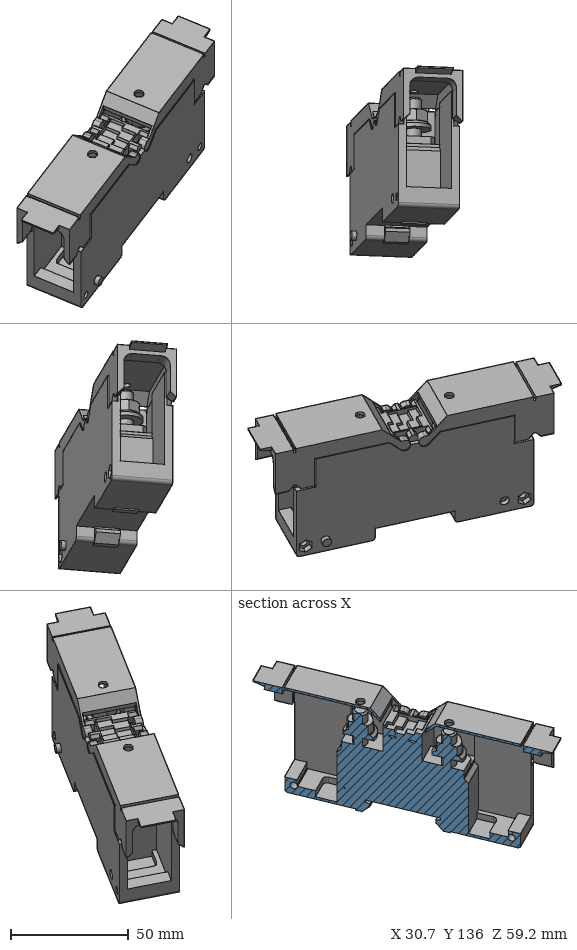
import cadquery as cq
body_width = 26.5
body_half_length = 53.6
body_bottom = 0.7
body_top = 51.5
bottom_edge_radius = 1.6
rail_half_gap = 18.0
rail_roof = 7.0

chamber_half_width = 9.7
chamber_back = 9.0
terminal_bay_half_width = 11.4
chamber_floor = 9.2
sill_depth = 5.7
sunk_floor = 5.7
well_half_width = 7.6
well_front = 39.5
well_corner_radius = 2.0
well_bottom = 2.3
shelf_front = 29.9
shelf_top = 30.2
busbar_bottom = 32.1
busbar_top = 33.5

stud_y = 20.1
plate_width = 15.5
plate_front = 27.9
plate_corner = 1.9
plate_top = 36.7
stud_radius = 3.3
stud_top = 54.7
stud_chamfer = 0.8
washer_radius = 7.3
washer_top_radius = 6.0
washer_bottom = 41.1
washer_rim_top = 42.7
nut_bottom = 44.0
nut_top = 49.1
nut_width = 10.5
nut_bevel = 0.5

cover_width = 25.7
cover_top = 59.2
cover_wall = 1.5
slope_top_y = 14.7
flap_inner_end = 45.2
flap_bottom = 36.9
flap_clearance = 0.4
flap_recess_half_width = 10.7
window_half_width = 11.8
window_y = 10.2
probe_hole_diameter = 4.1

pivot_y = 4.5
pivot_z = 48.1
pivot_radius = 2.6
lobe_top = pivot_z + pivot_radius
lobe_width = 3.4
ridge_half_top = 0.7
saddle_bevel = 1.4

cap_start = 54.7
cap_end = 62.8
cap_top = 58.8
slit_bottom = 57.1
arch_half_width = 10.0
arch_top = 55.1
arch_radius = 4.0
cap_foot_width = 0.4
cap_foot_rise = 2.3
notch_top = 39.5
notch_run = 2.3
tab_width = 15.5
tab_end = 68.0
tab_tip_thickness = 0.7
tab_root_thickness = 1.9

bolt_hole_y = 49.4
bolt_hole_z = 5.6
bolt_hole_diameter = 3.3
hex_pocket_width = 5.6
hex_pocket_depth = 2.7
pin_y = 40.4
pin_z = 6.7
pin_diameter = 4.1
pin_span = 30.7
pin_length = (pin_span - body_width) / 2
socket_depth = 2.5

catch_width = 10.6
catch_foot_y = 21.5
catch_toe_y = 18.5
catch_nose_y = 15.0
catch_nose_bottom = 3.8
catch_nose_top = 5.3
catch_neck_y = 17.0
catch_neck_z = 6.1

bed_half_width = 7.5
bank_y = 8.0
marker_half_width = 6.8
marker_step_depth = 1.4
marker_step_run = 0.4
marker_left_rows = (7.9, 3.8, -1.2, -5.6)
marker_right_rows = (5.6, 1.2, -3.8, -7.9)


def box(x0, x1, y0, y1, z0, z1):
    """Box between pairs of opposite faces."""
    return cq.Workplane("XY").box(x1 - x0, y1 - y0, z1 - z0, centered=False).translate((x0, y0, z0))


def wide_box(half_width, y0, y1, z0, z1):
    """Box centred on X = 0."""
    return box(-half_width, half_width, y0, y1, z0, z1)


def side_prism(points, half_width):
    """Outline of (y, z) points extruded evenly to both sides of X = 0."""
    return cq.Workplane("YZ").polyline(points).close().extrude(half_width, both=True)


def at_both_ends(shape):
    """The +Y shape together with its mirror image at -Y."""
    return shape.union(shape.mirror("XZ"))


def on_both_sides(shape):
    """The +X shape together with its mirror image at -X."""
    return shape.union(shape.mirror("YZ"))


def rod(x, y, z, diameter, length):
    """Cylinder along +X starting at x."""
    return cq.Workplane("YZ", origin=(x, y, z)).circle(diameter / 2).extrude(length)


def make_housing():
    """Block with the rail gap, rounded bottom edges, terminal chambers and flap recesses."""
    half_width = body_width / 2
    housing = wide_box(half_width, -body_half_length, body_half_length, body_bottom, body_top)
    housing = housing.cut(wide_box(half_width, -rail_half_gap, rail_half_gap, body_bottom, rail_roof))
    housing = housing.faces("<Z").edges("|X").fillet(bottom_edge_radius)
    return housing.cut(at_both_ends(make_chamber())).cut(at_both_ends(make_flap_recesses()))


def busbar_front():
    """Y of the busbar end, behind the 45 degree bevel of the shelf."""
    return shelf_front - (busbar_bottom - shelf_top)


def make_chamber():
    """Open-topped terminal chamber with a sill, a sunk floor behind it and a wider terminal bay."""
    sill_end = body_half_length - sill_depth
    chamber = wide_box(chamber_half_width, chamber_back, body_half_length, chamber_floor, body_top)
    sunk = wide_box(chamber_half_width, shelf_front, sill_end, sunk_floor, chamber_floor)
    well = wide_box(well_half_width, shelf_front, well_front, well_bottom, sunk_floor)
    well = well.faces(">Y").edges("|Z").fillet(well_corner_radius)
    bay = wide_box(terminal_bay_half_width, chamber_back, busbar_front(), busbar_bottom, body_top)
    return chamber.union(bay).union(sunk).union(well)


def make_flap_recesses():
    """Side recesses at the top corners for the cover flaps."""
    recess = box(flap_recess_half_width, body_width / 2, flap_inner_end - flap_clearance,
                 body_half_length, flap_bottom - flap_clearance, body_top)
    return on_both_sides(recess)


def slope_tangent():
    """Point where a 45 degree slope touches the underside of the pivot circle."""
    offset = pivot_radius / 2 ** 0.5
    return pivot_y + offset, pivot_z - offset


def make_saddle():
    """Dip under the covers: slopes, pivot grooves and a low bridge, with ridged inner walls."""
    tangent_y, tangent_z = slope_tangent()
    slope_end = tangent_y + body_top - tangent_z
    groove = (cq.Workplane("YZ", origin=(0, pivot_y, pivot_z)).circle(pivot_radius)
              .extrude(body_width / 2, both=True))
    slope = side_prism([(pivot_y, pivot_z), (tangent_y, tangent_z), (slope_end, body_top),
                        (pivot_y, body_top)], body_width / 2)
    outer_dip = slope.union(wide_box(body_width / 2, 0, pivot_y + pivot_radius, pivot_z, body_top))
    dip = at_both_ends(groove.union(outer_dip))

    ridge_foot = ridge_half_top + saddle_bevel
    ridge_outline = [(-ridge_foot, pivot_z), (-ridge_foot, body_top - saddle_bevel),
                     (-ridge_half_top, body_top), (ridge_half_top, body_top),
                     (ridge_foot, body_top - saddle_bevel), (ridge_foot, pivot_z)]
    ridge = side_prism(ridge_outline, terminal_bay_half_width)
    bank = side_prism([(bank_y - saddle_bevel, tangent_z), (bank_y - saddle_bevel, body_top - saddle_bevel),
                       (bank_y, body_top), (slope_end, body_top), (slope_end, tangent_z)],
                      terminal_bay_half_width)
    bed = wide_box(bed_half_width, -chamber_back, chamber_back, tangent_z, body_top)
    return dip.cut(ridge).cut(at_both_ends(bank)).cut(bed)


def marker_column(rows, x0, x1):
    """Pocket that steps down to its middle panel and up again, with sloped risers at the rows."""
    top, upper, lower, bottom = rows
    shallow = body_top - marker_step_depth
    deep = shallow - marker_step_depth
    outline = [(top, body_top), (top - marker_step_run, shallow), (upper, shallow),
               (upper - marker_step_run, deep), (lower + marker_step_run, deep), (lower, shallow),
               (bottom + marker_step_run, shallow), (bottom, body_top)]
    return cq.Workplane("YZ", origin=(x0, 0, 0)).polyline(outline).close().extrude(x1 - x0)


def make_markers():
    """Two staggered columns of marker panels."""
    left = marker_column(marker_left_rows, -marker_half_width, 0)
    return left.union(marker_column(marker_right_rows, 0, marker_half_width))


def make_terminal():
    """Shelf, busbar, clamping plate, stud, washer and nut of the +Y terminal."""
    shelf = side_prism([(chamber_back, chamber_floor), (shelf_front, chamber_floor), (shelf_front, shelf_top),
                        (busbar_front(), busbar_bottom), (chamber_back, busbar_bottom)],
                       chamber_half_width)
    busbar = wide_box(terminal_bay_half_width, chamber_back, busbar_front(), busbar_bottom, busbar_top)
    plate = wide_box(plate_width / 2, chamber_back, plate_front, busbar_top, plate_top)
    plate = plate.faces(">Y").edges("|Z").chamfer(plate_corner)
    stud = (cq.Workplane("XY", origin=(0, stud_y, busbar_top)).circle(stud_radius)
            .extrude(stud_top - busbar_top).faces(">Z").chamfer(stud_chamfer))
    washer_outline = [(0, washer_bottom), (washer_radius, washer_bottom), (washer_radius, washer_rim_top),
                      (washer_top_radius, nut_bottom), (0, nut_bottom)]
    washer = (cq.Workplane("XZ").polyline(washer_outline).close().revolve(360, (0, 0), (0, 1))
              .translate((0, stud_y, 0)))
    nut = (cq.Workplane("XY", origin=(0, stud_y, nut_bottom))
           .polygon(6, nut_width, circumscribed=True).extrude(nut_top - nut_bottom))
    nut_envelope = (cq.Workplane("XY", origin=(0, stud_y, nut_bottom)).circle(nut_width / 3 ** 0.5)
                    .extrude(nut_top - nut_bottom).faces(">Z").chamfer(nut_bevel))
    nut = nut.intersect(nut_envelope)
    return shelf.union(busbar).union(plate).union(stud).union(washer).union(nut)


def make_cover():
    """Shell over the +Y terminal: roof, slope, side flaps and pivot lobes."""
    half_width = cover_width / 2
    inner_half_width = half_width - cover_wall
    slope_end_y = slope_top_y - (cover_top - lobe_top)
    tangent_y, tangent_z = slope_tangent()
    wall_slope_y = tangent_y + body_top - tangent_z

    outline = [(body_half_length, cover_top), (slope_top_y, cover_top), (slope_end_y, lobe_top),
               (pivot_y, lobe_top), (pivot_y, pivot_z), (tangent_y, tangent_z), (wall_slope_y, body_top),
               (flap_inner_end, body_top), (flap_inner_end, flap_bottom), (cap_start, flap_bottom),
               (cap_start, slit_bottom), (body_half_length, slit_bottom)]
    slope_shift = cover_wall * (2 ** 0.5 - 1)
    roof_bottom = cover_top - cover_wall
    hollow_outline = [(cap_start, roof_bottom), (slope_top_y + slope_shift, roof_bottom),
                      (slope_top_y + slope_shift - roof_bottom + body_top, body_top),
                      (cap_start, body_top)]
    hollow = side_prism(hollow_outline, inner_half_width)
    flap_gap = wide_box(flap_recess_half_width, 0, cap_start, flap_bottom, body_top)
    bay_gap = wide_box(terminal_bay_half_width, 0, busbar_front(), tangent_z, body_top)
    slit = wide_box(inner_half_width, body_half_length, cap_start, flap_bottom, cover_top)
    window = wide_box(window_half_width, 0, window_y, tangent_z, cover_top)
    probe_hole = (cq.Workplane("XY", origin=(0, stud_y, roof_bottom)).circle(probe_hole_diameter / 2)
                  .extrude(cover_wall))
    cover = side_prism(outline, half_width)
    for opening in (hollow, flap_gap, bay_gap, slit, window, probe_hole):
        cover = cover.cut(opening)
    return cover.union(on_both_sides(make_lobe()))


def make_lobe():
    """Rounded pivot at the foot of the slope, with a flat top."""
    start = cover_width / 2 - lobe_width
    lobe = rod(start, pivot_y, pivot_z, 2 * pivot_radius, lobe_width)
    slope_end_y = slope_top_y - (cover_top - lobe_top)
    top = box(start, cover_width / 2, pivot_y, slope_end_y, pivot_z, lobe_top)
    return lobe.union(top)


def make_end_cap():
    """Arched cap with a tapered pull tab at the +Y end."""
    half_width = cover_width / 2
    cap = wide_box(half_width, cap_start, cap_end, flap_bottom, cap_top)
    arch = (wide_box(arch_half_width, cap_start, cap_end, flap_bottom, arch_top)
            .faces(">Z").edges("|Y").fillet(arch_radius))
    foot_half = half_width - cap_foot_width
    foot_bevel = (cq.Workplane("XZ", origin=(0, cap_end, 0))
                  .polyline([(-foot_half, flap_bottom), (foot_half, flap_bottom),
                             (arch_half_width, flap_bottom + cap_foot_rise),
                             (-arch_half_width, flap_bottom + cap_foot_rise)]).close()
                  .extrude(cap_end - cap_start))
    tab = side_prism([(cap_end, cap_top), (tab_end, cap_top), (tab_end, cap_top - tab_tip_thickness),
                      (cap_end, cap_top - tab_root_thickness)], tab_width / 2)
    return cap.cut(arch).cut(foot_bevel).union(tab)


def make_flap_notch():
    """Bevelled notch across the flap bottoms, centred on the cap slit."""
    return side_prism([(body_half_length - notch_run, flap_bottom), (body_half_length, notch_top),
                       (cap_start, notch_top), (cap_start + notch_run, flap_bottom)], cover_width / 2)


def make_rail_catch():
    """Hook at the edge of the rail gap."""
    outline = [(catch_foot_y, 0), (catch_toe_y, 0), (catch_nose_y, catch_nose_bottom),
               (catch_nose_y, catch_nose_top), (catch_neck_y, catch_neck_z), (catch_neck_y, rail_roof),
               (catch_foot_y, rail_roof)]
    return side_prism(outline, catch_width / 2)


def make_bolt_hole():
    """Cross hole with a hexagonal nut pocket on the -X side."""
    half_width = body_width / 2
    hole = rod(-half_width, bolt_hole_y, bolt_hole_z, bolt_hole_diameter, body_width)
    pocket = (cq.Workplane("YZ", origin=(-half_width, bolt_hole_y, bolt_hole_z))
              .polygon(6, hex_pocket_width, circumscribed=True).extrude(hex_pocket_depth))
    return hole.union(pocket)


housing = make_housing().cut(make_saddle()).cut(make_markers())
housing = housing.union(at_both_ends(make_terminal())).union(at_both_ends(make_rail_catch()))
housing = housing.cut(at_both_ends(make_bolt_hole()))

for side in (-1, 1):
    face_x = side * body_width / 2
    pin = rod(face_x, -side * pin_y, pin_z, pin_diameter, side * pin_length)
    socket = rod(face_x, side * pin_y, pin_z, pin_diameter, -side * socket_depth)
    housing = housing.union(pin).cut(socket)

cover = make_cover().union(make_end_cap()).cut(make_flap_notch())
result = housing.union(at_both_ends(cover))